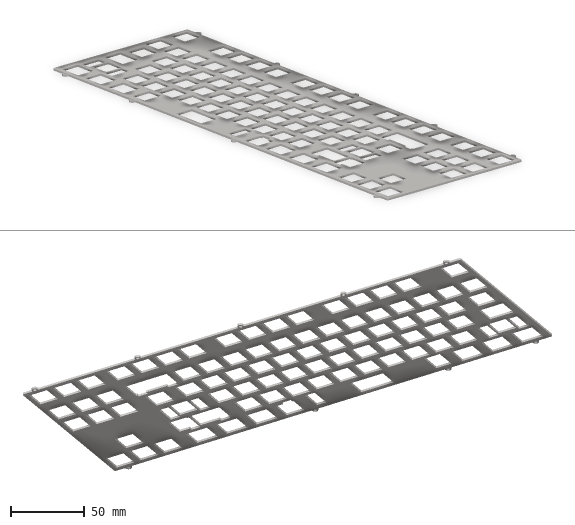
import cadquery as cq

LENGTH = 349.5
THICKNESS = 1.5
MARGIN = 10.5
CORNER_RADIUS = 1.0

COLUMN_SPAN = 17.25
ROW_SPAN = 5.25
PITCH = (LENGTH - 2 * MARGIN) / COLUMN_SPAN
WIDTH = ROW_SPAN * PITCH + 2 * MARGIN
SWITCH_SIZE = 14.0

STAB_WIDTH = 7.5
STAB_HEIGHT = 15.0
STAB_OFFSET = 1.5
STAB_REACH_2U = 12.0
STAB_REACH_SPACE_SHORT = 50.0
STAB_REACH_SPACE_LONG = 3 * PITCH

TAB_HOLE_DIAMETER = 2.4
TAB_RADIUS = 2.0
TAB_REACH = 2.97
TAB_ROOT_FILLET = 1.0
UPPER_TAB_COUNT = 5
LOWER_TAB_X = [14.0, 84.0, 190.2, LENGTH - MARGIN]

NAVIGATION = [15.25, 16.25, 17.25]


def key_run(first, count):
    """Column positions of neighbouring one-pitch keys."""
    return [first + i for i in range(count)]


SWITCH_ROWS = {
    0: [0] + key_run(2, 4) + key_run(6.5, 4) + key_run(11, 4) + NAVIGATION,
    1.25: key_run(0, 15) + [13.5] + NAVIGATION,
    2.25: [0.25] + key_run(1.5, 12) + [13.75] + NAVIGATION,
    3.25: [0.125, 0.375] + key_run(1.75, 11) + [13.375],
    4.25: [0.625] + key_run(2.25, 10) + [12.625, 13.125, 14, 16.25],
    5.25: [0.125, 0.25, 1.375, 1.5, 2.625, 2.75, 6.375, 7]
    + [10.125, 11.25, 11.375, 12.5, 12.625, 13.75, 13.875]
    + NAVIGATION,
}

STABILIZERS = [
    (13.5, 1.25, STAB_REACH_2U, -1),
    (13.375, 3.25, STAB_REACH_2U, -1),
    (0.625, 4.25, STAB_REACH_2U, -1),
    (13.125, 4.25, STAB_REACH_2U, -1),
    (6.375, 5.25, STAB_REACH_SPACE_SHORT, 1),
    (7, 5.25, STAB_REACH_SPACE_LONG, 1),
]


def grid_point(column, row):
    """Plate coordinates of a key position, with the plate centred on the origin."""
    x = MARGIN + column * PITCH - LENGTH / 2
    y = WIDTH / 2 - MARGIN - row * PITCH
    return x, y


def openings(points, width, height):
    """Rectangular cutters through the plate."""
    return cq.Workplane("XY").pushPoints(points).rect(width, height).extrude(THICKNESS)


def tab_centre(x, side):
    """Centre of a tab on the upper (side = 1) or lower (side = -1) long edge."""
    return x - LENGTH / 2, side * (WIDTH / 2 + TAB_REACH - TAB_RADIUS)


def discs(points, radius):
    """Round bodies through the plate thickness."""
    return cq.Workplane("XY").pushPoints(points).circle(radius).extrude(THICKNESS)


plate = cq.Workplane("XY").box(LENGTH, WIDTH, THICKNESS, centered=(True, True, False))
plate = plate.edges("|Z").fillet(CORNER_RADIUS)

tab_spacing = (LENGTH - 2 * MARGIN) / (UPPER_TAB_COUNT - 1)
tab_points = [tab_centre(MARGIN + i * tab_spacing, 1) for i in range(UPPER_TAB_COUNT)]
tab_points += [tab_centre(x, -1) for x in LOWER_TAB_X]
plate = plate.union(discs(tab_points, TAB_RADIUS))
root_limit = LENGTH / 2 - 2 * CORNER_RADIUS
tab_roots = cq.selectors.BoxSelector(
    (-root_limit, -WIDTH, -THICKNESS), (root_limit, WIDTH, 2 * THICKNESS)
)
plate = plate.edges("|Z").edges(tab_roots).fillet(TAB_ROOT_FILLET)
plate = plate.cut(discs(tab_points, TAB_HOLE_DIAMETER / 2))

switch_points = [grid_point(c, row) for row, columns in SWITCH_ROWS.items() for c in columns]
plate = plate.cut(openings(switch_points, SWITCH_SIZE, SWITCH_SIZE))

stab_points = []
for column, row, reach, side in STABILIZERS:
    x, y = grid_point(column, row)
    stab_points += [(x + end * reach, y + side * STAB_OFFSET) for end in (-1, 1)]
plate = plate.cut(openings(stab_points, STAB_WIDTH, STAB_HEIGHT))

result = plate